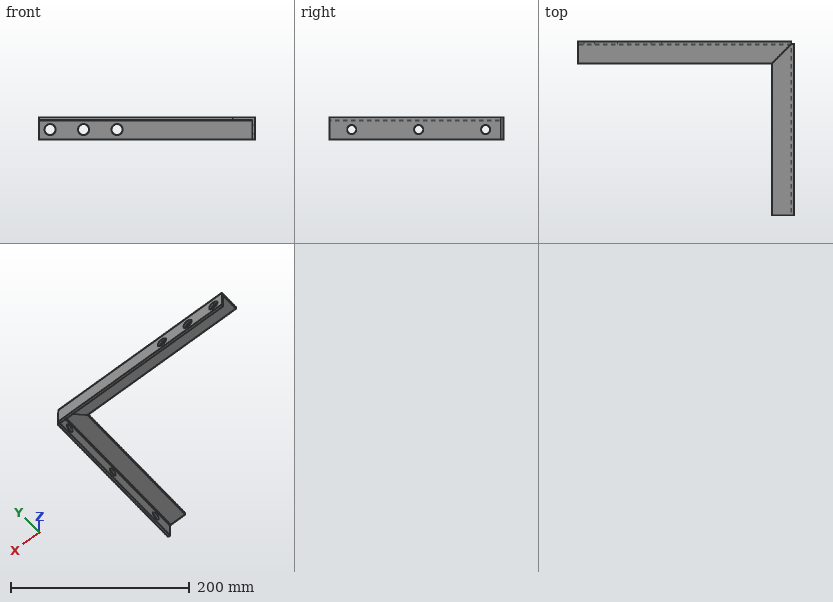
import cadquery as cq

span_x = 242.0
span_y = 195.0

leg = 25.0
wall = 3.0
root_radius = 1.0

hole_height = 11.1
long_hole_diameter = 12.0
long_hole_first = leg / 2
long_hole_pitch = 37.5
short_hole_diameter = 10.0
short_hole_first = leg
short_hole_pitch = 75.0
holes_per_bar = 3


def angle_bar(length, hole_diameter, hole_first, hole_pitch):
    """Drilled angle bar from X = 0 along +X, outer upright face at Y = 0, mitred at the far end."""
    bar = (
        cq.Workplane("YZ")
        .moveTo(0, 0)
        .lineTo(0, leg)
        .lineTo(-leg, leg)
        .lineTo(-leg, leg - wall)
        .lineTo(-wall - root_radius, leg - wall)
        .radiusArc((-wall, leg - wall - root_radius), -root_radius)
        .lineTo(-wall, 0)
        .close()
        .extrude(length)
    )

    mitre = leg - wall
    waste = (
        cq.Workplane("XY")
        .polyline([(length, -wall), (length, -leg), (length - mitre, -leg)])
        .close()
        .extrude(leg)
    )

    hole_centers = [(hole_first + i * hole_pitch, hole_height) for i in range(holes_per_bar)]
    holes = (
        cq.Workplane("XZ")
        .pushPoints(hole_centers)
        .circle(hole_diameter / 2)
        .extrude(wall)
    )
    return bar.cut(waste).cut(holes)


long_bar = angle_bar(span_x - wall, long_hole_diameter, long_hole_first, long_hole_pitch)

short_bar = (
    angle_bar(span_y - wall, short_hole_diameter, short_hole_first, short_hole_pitch)
    .mirror("XZ")
    .rotate((0, 0, 0), (0, 0, 1), 90)
    .translate((span_x, -span_y, 0))
)

result = cq.Compound.makeCompound([long_bar.val(), short_bar.val()])